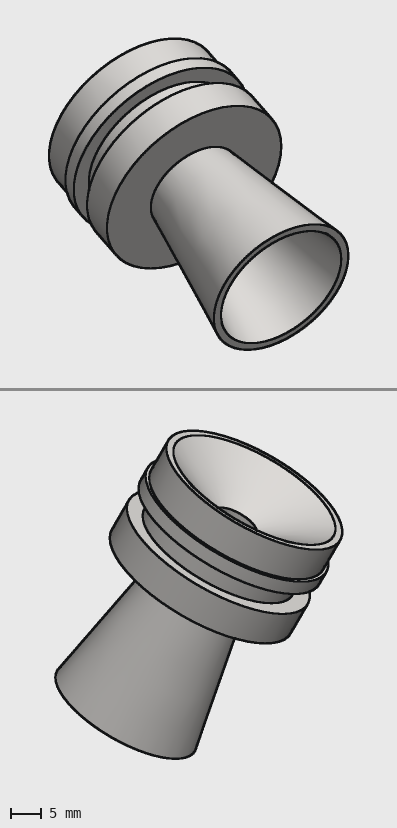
import cadquery as cq

inlet_rim_end = 6.0
front_flange_end = 8.5
groove_end = 12.5
body_end = 18.5
total_length = 44.7

inlet_rim_diameter = 32.2
flange_diameter = 33.5
groove_diameter = 27.75
horn_root_diameter = 16.65
horn_exit_diameter = 25.85

inlet_diameter = 29.65
throat_diameter = 7.65
throat_start = 6.4
throat_length = 1.25
throat_end = throat_start + throat_length
exit_wall = 1.4
outlet_diameter = horn_exit_diameter - 2 * exit_wall

outer_profile = [
    (0, inlet_rim_diameter / 2),
    (inlet_rim_end, inlet_rim_diameter / 2),
    (inlet_rim_end, flange_diameter / 2),
    (front_flange_end, flange_diameter / 2),
    (front_flange_end, groove_diameter / 2),
    (groove_end, groove_diameter / 2),
    (groove_end, flange_diameter / 2),
    (body_end, flange_diameter / 2),
    (body_end, horn_root_diameter / 2),
    (total_length, horn_exit_diameter / 2),
]
passage_profile = [
    (total_length, outlet_diameter / 2),
    (throat_end, throat_diameter / 2),
    (throat_start, throat_diameter / 2),
    (0, inlet_diameter / 2),
]

result = (
    cq.Workplane("XY")
    .polyline(outer_profile + passage_profile)
    .close()
    .revolve(360, (0, 0, 0), (1, 0, 0))
)